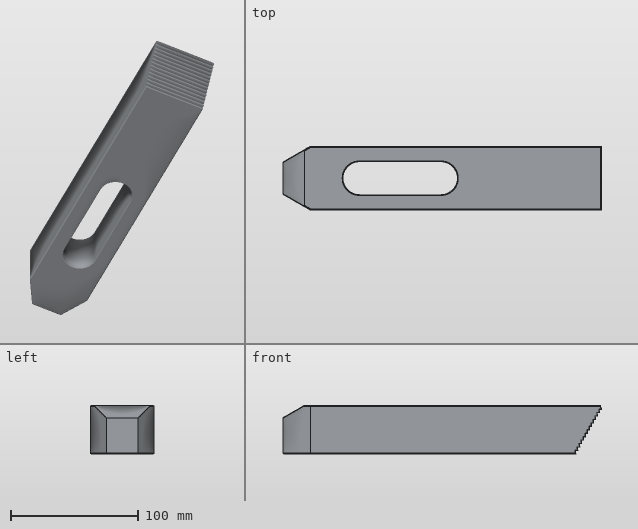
import cadquery as cq
import math

length = 250.0
width = 50.0
height = 38.0
edge_chamfer = 0.8

nose_width = 25.0
nose_height = 28.2
nose_angle = math.radians(30)
nose_side_length = (width - nose_width) / 2 / math.tan(nose_angle)
nose_top_length = (height - nose_height) / math.tan(nose_angle)

slot_start = 47.0
slot_length = 90.0
slot_width = 26.0
slot_chamfer = 0.5

heel_angle = math.radians(60)
tooth_count = 13
first_tip_height = 35.0
tooth_rise = first_tip_height / tooth_count
tooth_step = tooth_rise / math.tan(heel_angle)
tooth_undercut = 2.0
heel_lip = 1.0
heel_allowance = 2.5


def make_bar():
    """Pointed plan outline, with its top and bottom rims chamfered."""
    return (
        cq.Workplane("XY")
        .moveTo(0, -nose_width / 2)
        .lineTo(nose_side_length, -width / 2)
        .lineTo(length + heel_allowance, -width / 2)
        .lineTo(length + heel_allowance, width / 2)
        .lineTo(nose_side_length, width / 2)
        .lineTo(0, nose_width / 2)
        .close()
        .extrude(height)
        .faces("<Z or >Z")
        .chamfer(edge_chamfer)
    )


def make_side_profile():
    """Side silhouette: sloped nose top and a leaning heel of sawtooth steps."""
    points = [(0, 0), (0, nose_height), (nose_top_length, height), (length - heel_lip, height)]
    for index in range(tooth_count):
        tip_x = length - index * tooth_step
        tip_z = first_tip_height - index * tooth_rise
        points.append((tip_x, tip_z))
        points.append((tip_x - tooth_undercut, tip_z))
    points.append((length - tooth_count * tooth_step, 0))
    return cq.Workplane("XZ").polyline(points).close().extrude(width / 2, both=True)


def make_slot():
    """Through slot, with both mouths chamfered outward."""
    center_x = slot_start + slot_length / 2
    mouth_length = slot_length + 2 * slot_chamfer
    mouth_width = slot_width + 2 * slot_chamfer
    slot = cq.Workplane("XY").center(center_x, 0).slot2D(slot_length, slot_width).extrude(height)
    lower_mouth = (
        cq.Workplane("XY")
        .center(center_x, 0)
        .slot2D(mouth_length, mouth_width)
        .extrude(slot_chamfer, taper=45)
    )
    upper_mouth = lower_mouth.mirror("XY").translate((0, 0, height))
    return slot.union(lower_mouth).union(upper_mouth)


result = make_bar().intersect(make_side_profile()).cut(make_slot())